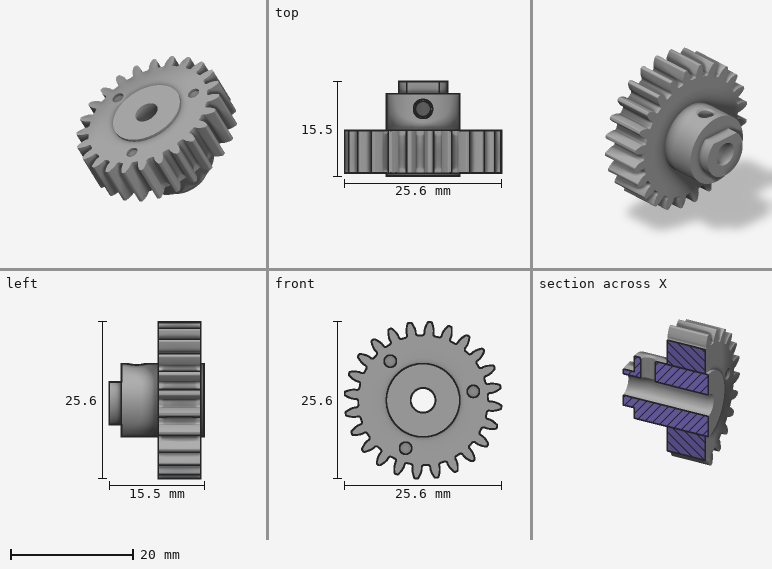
import cadquery as cq
import math


hub_diameter = 12.0
hub_front_lip = 0.5
gear_width = 7.0
hub_rear_length = 6.0
spigot_length = 2.0
bore_diameter = 4.0
spigot_radius = 4.0
spigot_flat_height = 3.0

screw_hole_diameter = 2.5
screw_hole_setback = 2.5
screw_hole_chamfer = 0.3

tooth_count = 24
pitch_radius = 12.0
pressure_angle = math.radians(20)
tip_radius = 25.7 / 2
root_radius = 10.6
tooth_thickness = 1.3
first_tooth_angle = math.radians(10)
root_fillet = 0.35
tip_fillet = 0.25
flank_point_count = 6

blind_hole_count = 3
blind_hole_diameter = 2.0
blind_hole_circle_radius = 8.33
blind_hole_depth = 0.5
first_blind_hole_angle = math.radians(10)

shoulder_y = hub_front_lip + gear_width + hub_rear_length
base_radius = pitch_radius * math.cos(pressure_angle)


def plane_at(y):
    """Plane across the axis at y: local x is X, local y is Z, and negative extrusions run towards +Y."""
    return cq.Workplane("XZ", origin=(0, y, 0))


def polar(radius, angle):
    return (radius * math.cos(angle), radius * math.sin(angle))


def involute(angle):
    return math.tan(angle) - angle


def half_tooth_angle(radius):
    """Half the angle that a tooth with involute flanks spans at a radius."""
    at_pitch = tooth_thickness / (2 * pitch_radius)
    return at_pitch + involute(pressure_angle) - involute(math.acos(base_radius / radius))


def flank_points(tooth_angle, side):
    """Points on one involute flank, from the base circle out to the tip."""
    step = (tip_radius - base_radius) / (flank_point_count - 1)
    radii = [base_radius + i * step for i in range(flank_point_count)]
    return [polar(radius, tooth_angle + side * half_tooth_angle(radius)) for radius in radii]


def gear_outline():
    """Closed outline of all the teeth, running counter-clockwise."""
    pitch_angle = 2 * math.pi / tooth_count
    root_half_angle = half_tooth_angle(base_radius)
    outline = plane_at(hub_front_lip).moveTo(*polar(root_radius, first_tooth_angle - root_half_angle))
    for i in range(tooth_count):
        tooth_angle = first_tooth_angle + i * pitch_angle
        rising = flank_points(tooth_angle, -1)
        falling = flank_points(tooth_angle, 1)[::-1]
        gap_middle = polar(root_radius, tooth_angle + pitch_angle / 2)
        next_root = polar(root_radius, tooth_angle + pitch_angle - root_half_angle)
        outline = (
            outline.lineTo(*rising[0])
            .spline(rising[1:], includeCurrent=True)
            .threePointArc(polar(tip_radius, tooth_angle), falling[0])
            .spline(falling[1:], includeCurrent=True)
            .lineTo(*polar(root_radius, tooth_angle + root_half_angle))
            .threePointArc(gap_middle, next_root)
        )
    return outline.close()


def edges_at_radius(body, radius):
    """The body's edges that run along Y at the given distance from the axis."""
    tolerance = 0.003
    return body.edges("|Y").filter(
        lambda edge: abs(math.hypot(edge.Center().x, edge.Center().z) - radius) < tolerance
    )


def make_gear():
    gear = gear_outline().extrude(-gear_width)
    gear = edges_at_radius(gear, root_radius).fillet(root_fillet)
    gear = edges_at_radius(gear, tip_radius).fillet(tip_fillet)

    hub_seat = plane_at(hub_front_lip).circle(hub_diameter / 2).extrude(-gear_width)
    hole_centres = [
        polar(blind_hole_circle_radius, first_blind_hole_angle + i * 2 * math.pi / blind_hole_count)
        for i in range(blind_hole_count)
    ]
    blind_holes = (
        plane_at(hub_front_lip)
        .pushPoints(hole_centres)
        .circle(blind_hole_diameter / 2)
        .extrude(-blind_hole_depth)
    )
    return gear.cut(hub_seat).cut(blind_holes)


def make_spigot():
    """Round end of the hub with one flat on top."""
    spigot = plane_at(shoulder_y).circle(spigot_radius).extrude(-spigot_length)
    below_flat = (
        plane_at(shoulder_y)
        .center(0, spigot_flat_height - spigot_radius)
        .rect(2 * spigot_radius, 2 * spigot_radius)
        .extrude(-spigot_length)
    )
    return spigot.intersect(below_flat)


def make_hub():
    hub = plane_at(0).circle(hub_diameter / 2).extrude(-shoulder_y)
    screw_hole = (
        cq.Workplane("XY", origin=(0, shoulder_y - screw_hole_setback, 0))
        .circle(screw_hole_diameter / 2)
        .extrude(hub_diameter)
    )
    hub = hub.cut(screw_hole)
    mouth = cq.selectors.BoxSelector(
        (-screw_hole_diameter, shoulder_y - 2 * screw_hole_setback, bore_diameter),
        (screw_hole_diameter, shoulder_y, hub_diameter),
    )
    hub = hub.edges(mouth).chamfer(screw_hole_chamfer)
    hub = hub.union(make_spigot())
    bore = plane_at(0).circle(bore_diameter / 2).extrude(-(shoulder_y + spigot_length))
    return hub.cut(bore)


gear = make_gear()
hub = make_hub()

result = cq.Compound.makeCompound([hub.solids().val(), gear.solids().val()])